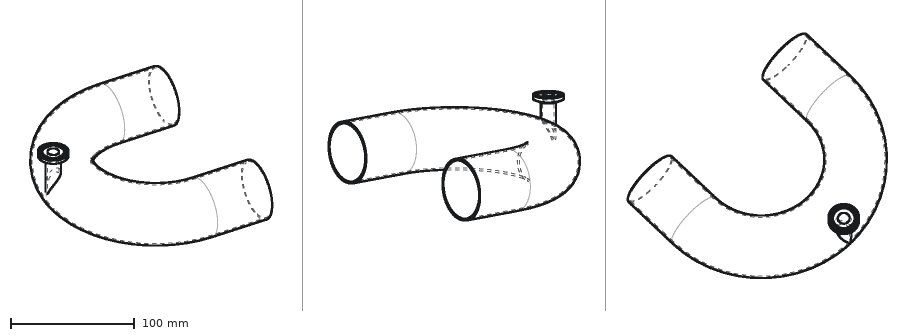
import cadquery as cq

tube_diameter = 50.8
tube_bore = 47.5
bend_radius = 76.2
leg_length = 50.8
tube_wall = (tube_diameter - tube_bore) / 2

nozzle_diameter = tube_diameter / 4
nozzle_bore = nozzle_diameter - 2 * tube_wall
nozzle_y = -(bend_radius + tube_diameter / 2 - nozzle_diameter / 2)
face_z = 41.2

ferrule_diameter = 25.0
rim_thickness = 3.3
cone_height = 2.6
groove_outer_diameter = 22.0
groove_inner_diameter = 17.5
groove_floor_inner_diameter = 19.0
groove_depth = 1.2


def bend_body(diameter):
    """Solid U-shaped body of the given section diameter."""
    path = (
        cq.Workplane("XY")
        .moveTo(-bend_radius, leg_length)
        .lineTo(-bend_radius, 0)
        .threePointArc((0, -bend_radius), (bend_radius, 0))
        .lineTo(bend_radius, leg_length)
    )
    section = cq.Workplane("XZ", origin=(-bend_radius, leg_length, 0)).circle(diameter / 2)
    return section.sweep(path)


def nozzle_body():
    """Solid nozzle and ferrule, revolved about the nozzle axis from Z = 0 upward."""
    nozzle_radius = nozzle_diameter / 2
    ferrule_radius = ferrule_diameter / 2
    rim_z = face_z - rim_thickness
    return (
        cq.Workplane("XZ", origin=(0, nozzle_y, 0))
        .polyline([
            (0, 0),
            (nozzle_radius, 0),
            (nozzle_radius, rim_z - cone_height),
            (ferrule_radius, rim_z),
            (ferrule_radius, face_z),
            (0, face_z),
        ])
        .close()
        .revolve(360, (0, 0), (0, 1))
    )


def gasket_groove():
    """Ring cut into the ferrule face, with an upright outer wall and a sloping inner wall."""
    outer_radius = groove_outer_diameter / 2
    inner_radius = groove_inner_diameter / 2
    floor_inner_radius = groove_floor_inner_diameter / 2
    floor_z = face_z - groove_depth
    return (
        cq.Workplane("XZ", origin=(0, nozzle_y, 0))
        .polyline([
            (inner_radius, face_z),
            (floor_inner_radius, floor_z),
            (outer_radius, floor_z),
            (outer_radius, face_z),
        ])
        .close()
        .revolve(360, (0, 0), (0, 1))
    )


def nozzle_passage():
    """Round passage from the ferrule face down into the tube bore."""
    return (
        cq.Workplane("XY", origin=(0, nozzle_y, 0))
        .circle(nozzle_bore / 2)
        .extrude(face_z)
    )


result = (
    bend_body(tube_diameter)
    .union(nozzle_body())
    .cut(bend_body(tube_bore))
    .cut(nozzle_passage())
    .cut(gasket_groove())
)